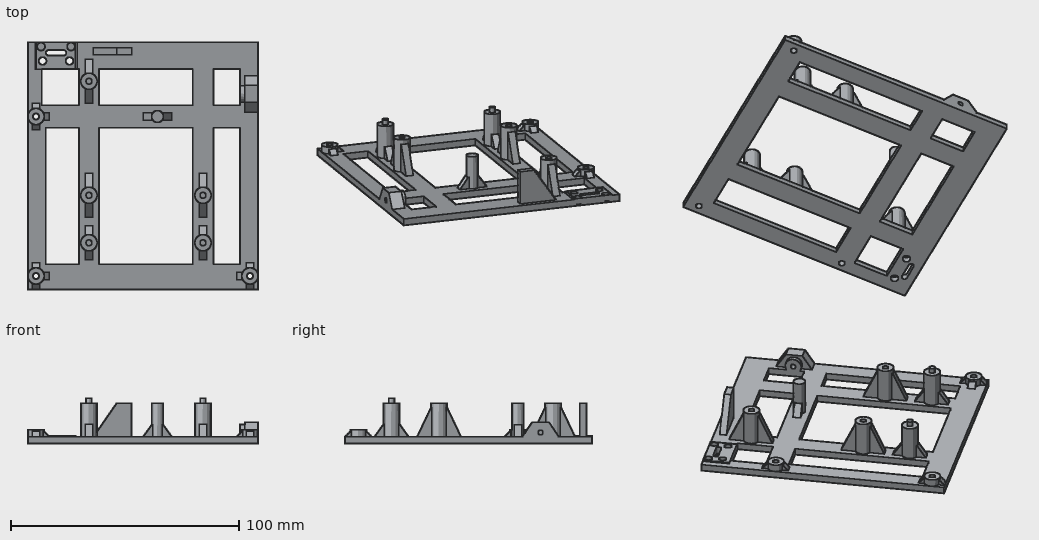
import cadquery as cq

plate_x = 101.0
plate_y = 108.5
plate_z = 3.0
total_z = 20.0

left_column = (22.4, 31.2)
right_column = (72.3, 81.5)
right_border = 93.0
left_border = 7.9
left_border_rear = 6.2
front_border = 11.2
cross_bar = (71.0, 80.8)
rear_border = 96.7

rib_width = 3.4
post_diameter = 7.2
bore_diameter = 2.6
post_top = 17.8
post_height = post_top - plate_z
left_post_x = 26.8
right_post_x = 76.8
screw_post_y = 41.3
rear_screw_post_y = 91.4
pin_post_y = 20.5
screw_rib_reach = 9.7
screw_rib_rise = 2.1
pin_rib_reach = 7.5
pin_rib_rise = 1.4

prop_x = 56.9
cross_bar_center_y = sum(cross_bar) / 2
prop_diameter = 5.2
prop_rib_reach = 6.3
prop_rib_rise = 1.4

boss_height = 3.1
boss_inset = post_diameter / 2
boss_front_y = 6.0
boss_rib_reach = 5.9
boss_rib_rise = 1.0

fin_x = (28.8, 45.6)
fin_top_x = 39.0
fin_y = (103.0, 106.0)

block_x = 95.2
block_top = 9.4
block_center_y = 85.8
block_foot = 16.1
block_crest = 7.4
sleeve_top = 8.5
sleeve_diameter = 7.2
sleeve_bore = 2.2

pad_rise = 0.3
pad_foot_x = (3.1, 21.6)
pad_top_x = (3.6, 20.7)
pad_center_x = 12.4
pad_hole_diameter = 3.3
pad_hole_spacing = 11.8
pad_hole_y = 100.3
socket_diameter = 3.5
socket_spacing = 13.1
socket_y = 106.5
socket_depth = 2.7
slot_length = 8.9
slot_width = 2.3
slot_y = 103.8


def box(x_range, y_range, z_range):
    size = [end - start for start, end in (x_range, y_range, z_range)]
    corner = (x_range[0], y_range[0], z_range[0])
    return cq.Workplane("XY").box(*size, centered=False).translate(corner)


def cylinder(x, y, z, diameter, height):
    return cq.Workplane("XY").center(x, y).circle(diameter / 2).extrude(height).translate((0, 0, z))


def rib(x, y, angle, reach, rise, radius):
    """Triangular web that leans on a post of the given radius, pointing along the angle."""
    profile = [(0, 0), (reach, 0), (radius, (reach - radius) * rise), (0, (reach - radius) * rise)]
    web = cq.Workplane("XZ").polyline(profile).close().extrude(rib_width / 2, both=True)
    return web.rotate((0, 0, 0), (0, 0, 1), angle).translate((x, y, plate_z))


def ribbed_post(x, y, diameter, height, reach, rise, angles):
    post = cylinder(x, y, plate_z, diameter, height)
    for angle in angles:
        post = post.union(rib(x, y, angle, reach, rise, diameter / 2))
    return post


def make_plate():
    plate = box((0, plate_x), (0, plate_y), (0, plate_z))
    front_row = (front_border, cross_bar[0])
    rear_row = (cross_bar[1], rear_border)
    for row, border in ((front_row, left_border), (rear_row, left_border_rear)):
        for columns in (
            (border, left_column[0]),
            (left_column[1], right_column[0]),
            (right_column[1], right_border),
        ):
            plate = plate.cut(box(columns, row, (0, plate_z)))
    return plate


def make_fin():
    profile = [(fin_x[0], plate_z), (fin_x[1], plate_z), (fin_x[1], post_top), (fin_top_x, post_top)]
    fin = cq.Workplane("XZ").polyline(profile).close().extrude(fin_y[0] - fin_y[1])
    return fin.translate((0, fin_y[0], 0))


def make_bearing_block():
    half_foot = block_foot / 2
    half_crest = block_crest / 2
    profile = [
        (-half_foot, plate_z),
        (half_foot, plate_z),
        (half_crest, block_top),
        (-half_crest, block_top),
    ]
    side = cq.Workplane("YZ").center(block_center_y, 0)
    block = side.polyline(profile).close().extrude(plate_x - block_x).translate((block_x, 0, 0))
    axis = side.center(0, sleeve_top - sleeve_diameter / 2)
    sleeve = axis.circle(sleeve_diameter / 2).extrude(block_x - right_border)
    bore = axis.circle(sleeve_bore / 2).extrude(plate_x - right_border)
    return block.union(sleeve.translate((right_border, 0, 0))).cut(bore.translate((right_border, 0, 0)))


def add_connector_pad(body):
    pad_top = plate_z + pad_rise
    profile = [
        (pad_foot_x[0], plate_z),
        (pad_foot_x[1], plate_z),
        (pad_top_x[1], pad_top),
        (pad_top_x[0], pad_top),
    ]
    pad = cq.Workplane("XZ").polyline(profile).close().extrude(rear_border - plate_y)
    body = body.union(pad.translate((0, rear_border, 0)))
    for side in (-1, 1):
        hole_x = pad_center_x + side * pad_hole_spacing / 2
        socket_x = pad_center_x + side * socket_spacing / 2
        body = body.cut(cylinder(hole_x, pad_hole_y, 0, pad_hole_diameter, pad_top))
        body = body.cut(cylinder(socket_x, socket_y, pad_top - socket_depth, socket_diameter, socket_depth))
    slot = cq.Workplane("XY").center(pad_center_x, slot_y).slot2D(slot_length, slot_width).extrude(pad_top)
    return body.cut(slot)


result = make_plate().union(make_fin()).union(make_bearing_block())
result = add_connector_pad(result)

for x, y in (
    (left_post_x, rear_screw_post_y),
    (left_post_x, screw_post_y),
    (right_post_x, screw_post_y),
):
    post = ribbed_post(x, y, post_diameter, post_height, screw_rib_reach, screw_rib_rise, (90, -90))
    result = result.union(post).cut(cylinder(x, y, plate_z, bore_diameter, post_height))

for x in (left_post_x, right_post_x):
    post = ribbed_post(x, pin_post_y, post_diameter, post_height, pin_rib_reach, pin_rib_rise, (90, -90))
    pin = cylinder(x, pin_post_y, post_top, bore_diameter, total_z - post_top)
    result = result.union(post).union(pin)

prop = ribbed_post(
    prop_x, cross_bar_center_y, prop_diameter, post_height, prop_rib_reach, prop_rib_rise, (0, 180)
)
result = result.union(prop)

for x, y, inward in (
    (boss_inset, cross_bar_center_y, 0),
    (boss_inset, boss_front_y, 0),
    (plate_x - boss_inset, boss_front_y, 180),
):
    boss = ribbed_post(x, y, post_diameter, boss_height, boss_rib_reach, boss_rib_rise, (90, -90, inward))
    result = result.union(boss).cut(cylinder(x, y, 0, bore_diameter, plate_z + boss_height))